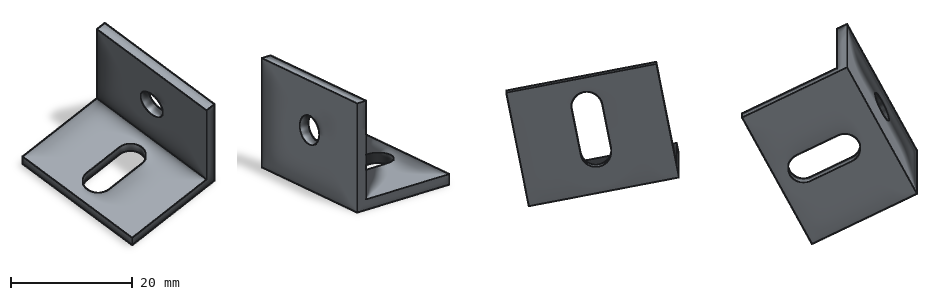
import cadquery as cq

width = 25.17
leg_length = 19.43
thickness = 1.9
hole_diameter = 5.08
hole_height = 10.65
slot_length = 12.74
slot_from_front = 8.73


def angle_body():
    """L-shaped angle: flat base with an upright wall along its back edge."""
    base = cq.Workplane("XY").box(width, leg_length, thickness, centered=(True, False, False))
    wall = (
        cq.Workplane("XY")
        .box(width, thickness, leg_length, centered=(True, False, False))
        .translate((0, leg_length - thickness, 0))
    )
    return base.union(wall)


def wall_hole():
    """Round cutter through the upright wall."""
    return (
        cq.Workplane("XZ", origin=(0, leg_length, hole_height))
        .circle(hole_diameter / 2)
        .extrude(thickness)
    )


def base_slot():
    """Round-ended cutter through the base, running front to back."""
    return (
        cq.Workplane("XY", origin=(0, slot_from_front, 0))
        .slot2D(slot_length, hole_diameter, angle=90)
        .extrude(thickness)
    )


result = angle_body().cut(wall_hole()).cut(base_slot())